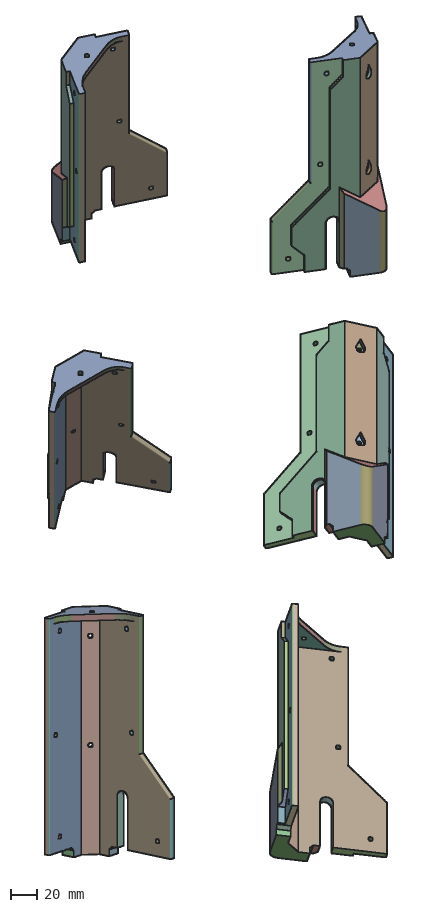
import cadquery as cq
import math

height = 194.0
x_reach = 60.0
y_reach = 90.0

flange_face = 6.0
skin_face = flange_face / 2
inner_face = 11.0

flange_bottom = 8.0
flange_round = 1.0
sweep_z = 85.5
widening = y_reach - x_reach

border = 15.0
notch_depth = 10.0
skin_sweep_z = 80.0

corner = 21.5
wall_thickness = 5.5
cap_thickness = 5.0
cap_diagonal = 56.8
cap_blend = 20.0

boss_width = 35.0
boss_round = 7.0
foot_width = 30.0
foot_slope = 2.7
boss_apex_z = 68.5

slot_width = 10.0
slot_arch_z = 48.7
slot_bevel = 0.8

screw_diameter = 3.5
end_inset = 13.0
middle_inset = 8.0
screw_margin_z = 12.0
cap_hole_place = 22.9
drop_radius = 3.7
drop_depth = 3.0
drop_tip = 8.3
drop_heights = (86.1, 172.0)

wall_back = skin_face + corner + wall_thickness * math.sqrt(2) - inner_face
boss_root = boss_width + skin_face
skin_edge = x_reach - border
low_notch_z = flange_bottom + border
high_notch_z = height - border


def slab_along_x(points, near, far):
    """Extrude a (y, z) outline between two x positions."""
    return cq.Workplane("YZ", origin=(near, 0, 0)).polyline(points).close().extrude(far - near)


def prism(points, bottom, top):
    """Extrude an (x, y) outline between two heights."""
    return cq.Workplane("XY", origin=(0, 0, bottom)).polyline(points).close().extrude(top - bottom)


def mirrored(solid):
    """Swap the x and y axes of a solid."""
    return solid.mirror("XY").rotate((0, 0, 0), (1, 1, 0), 180)


def skin_outline(low_edge, middle_points, high_edge):
    """Skin stepping back from its flange at the bottom and top end screws."""
    return [
        (corner, flange_bottom),
        (low_edge - notch_depth, flange_bottom),
        (low_edge - notch_depth, low_notch_z),
        (low_edge, low_notch_z + notch_depth),
        *middle_points,
        (high_edge, high_notch_z - notch_depth),
        (high_edge - notch_depth, high_notch_z),
        (high_edge - notch_depth, height),
        (corner, height),
    ]


def screw_holes(bottom_reach):
    """Three screw shanks along x, the lowest one set in from its own flange edge."""
    places = [
        (bottom_reach - end_inset, flange_bottom + screw_margin_z),
        (x_reach - middle_inset, (flange_bottom + height) / 2),
        (x_reach - end_inset, height - screw_margin_z),
    ]
    return (
        cq.Workplane("YZ")
        .pushPoints(places)
        .circle(screw_diameter / 2)
        .extrude(inner_face)
    )


def cable_slot():
    """Arched slot, open at the bottom, bevelled at the skin face."""
    middle_y = boss_root + slot_width / 2

    def outline(x, half_width):
        return (
            cq.Workplane("YZ", origin=(x, 0, 0))
            .moveTo(middle_y - half_width, 0)
            .lineTo(middle_y - half_width, slot_arch_z)
            .threePointArc((middle_y, slot_arch_z + half_width), (middle_y + half_width, slot_arch_z))
            .lineTo(middle_y + half_width, 0)
            .close()
        )

    passage = outline(0, slot_width / 2).extrude(inner_face + skin_face)
    bevel = outline(skin_face, slot_width / 2 + slot_bevel).extrude(slot_bevel, taper=45)
    return passage.union(bevel)


def y_side():
    """Side along y that widens downwards and carries the cable slot."""
    flange = [
        (corner, flange_bottom),
        (y_reach, flange_bottom),
        (y_reach, sweep_z - widening),
        (x_reach, sweep_z),
        (x_reach, height),
        (corner, height),
    ]
    wide_edge = y_reach - border
    sweep = [(wide_edge, skin_sweep_z - widening), (skin_edge, skin_sweep_z)]
    side = slab_along_x(flange, flange_face, inner_face)
    free_edges = cq.selectors.BoxSelector((0, skin_edge, low_notch_z), (y_reach, height, high_notch_z))
    side = side.faces("<X or >X").edges(free_edges).fillet(flange_round)
    side = side.union(slab_along_x(skin_outline(wide_edge, sweep, skin_edge), skin_face, inner_face))
    return side.cut(screw_holes(y_reach)).cut(cable_slot())


def x_side():
    """Straight side, shaped along y and then swapped onto the x axis."""
    flange = [(corner, flange_bottom), (x_reach, flange_bottom), (x_reach, height), (corner, height)]
    side = slab_along_x(flange, flange_face, inner_face)
    side = side.faces(">Y").edges("|Z").fillet(flange_round)
    side = side.union(slab_along_x(skin_outline(skin_edge, [], skin_edge), skin_face, inner_face))
    return mirrored(side.cut(screw_holes(x_reach)))


def diagonal_wall():
    """Front wall cutting the outer corner at 45 degrees."""
    outline = [
        (skin_face, corner),
        (corner, skin_face),
        (corner, inner_face),
        (wall_back, inner_face),
        (inner_face, wall_back),
        (inner_face, corner),
    ]
    return prism(outline, flange_bottom, height)


def top_cap():
    """Web closing the hollow back at the top, blended into the flanges."""
    far = cap_diagonal - inner_face
    half_turn = math.radians(45) / 2
    tangent = cap_blend * math.tan(half_turn)
    toe = far + tangent
    blend_end = tangent / math.sqrt(2)
    arc_sag = cap_blend * (1 - math.cos(half_turn))
    arc_run = cap_blend * math.sin(half_turn)
    x_mid = (toe - arc_run, inner_face + arc_sag)
    x_end = (far - blend_end, inner_face + blend_end)
    cap = (
        cq.Workplane("XY", origin=(0, 0, height - cap_thickness))
        .moveTo(inner_face, wall_back)
        .lineTo(wall_back, inner_face)
        .lineTo(toe, inner_face)
        .threePointArc(x_mid, x_end)
        .lineTo(x_end[1], x_end[0])
        .threePointArc((x_mid[1], x_mid[0]), (inner_face, toe))
        .close()
        .extrude(cap_thickness)
    )
    hole = (
        cq.Workplane("XY", origin=(0, 0, height - cap_thickness))
        .center(cap_hole_place, cap_hole_place)
        .circle(screw_diameter / 2)
        .extrude(cap_thickness)
    )
    return cap.cut(hole)


def boss():
    """Angle-shaped boss with a 45 degree roof and a narrowed foot."""
    outline = [
        (0, 0),
        (boss_width, 0),
        (boss_root, skin_face),
        (boss_root, inner_face),
        (wall_back, inner_face),
        (inner_face, wall_back),
        (inner_face, boss_root),
        (skin_face, boss_root),
        (0, boss_width),
    ]
    body = prism(outline, 0, height)
    body = body.edges("|Z").edges(cq.selectors.NearestToPointSelector((0, 0, height / 2)))
    body = body.fillet(boss_round)

    roof_plane = cq.Plane(
        origin=((corner + skin_face) / 2, (corner + skin_face) / 2, boss_apex_z),
        xDir=(1, -1, 0),
        normal=(-1, -1, math.sqrt(2)),
    )
    above_roof = cq.Workplane(roof_plane).rect(2 * height, 2 * height).extrude(2 * height)

    relief_outline = [
        (foot_width, 0),
        (boss_root, 0),
        (boss_root, flange_bottom),
        (foot_width + foot_slope, flange_bottom),
        (foot_width, flange_bottom - foot_slope),
    ]
    foot_relief = slab_along_x(relief_outline, 0, inner_face)
    body = body.cut(above_roof).cut(foot_relief).cut(mirrored(foot_relief))

    notch_outline = [
        (boss_width, flange_bottom),
        (boss_root, flange_bottom),
        (boss_root, low_notch_z + boss_root - boss_width),
        (boss_width, low_notch_z),
    ]
    return body.cut(mirrored(slab_along_x(notch_outline, 0, flange_face)))


def keyhole(z):
    """Drop-shaped pocket with a screw hole through the diagonal wall."""
    middle = (corner + skin_face) / 2
    face = cq.Plane(origin=(middle, middle, z), xDir=(1, -1, 0), normal=(-1, -1, 0))
    side_z = drop_radius**2 / drop_tip
    side_x = math.sqrt(drop_radius**2 - side_z**2)
    pocket = (
        cq.Workplane(face)
        .moveTo(0, drop_tip)
        .lineTo(side_x, side_z)
        .threePointArc((0, -drop_radius), (-side_x, side_z))
        .close()
        .extrude(-drop_depth)
    )
    hole = cq.Workplane(face).circle(screw_diameter / 2).extrude(-wall_thickness)
    return pocket.union(hole)


result = diagonal_wall().union(x_side()).union(y_side()).union(top_cap()).union(boss())
for drop_z in drop_heights:
    result = result.cut(keyhole(drop_z))